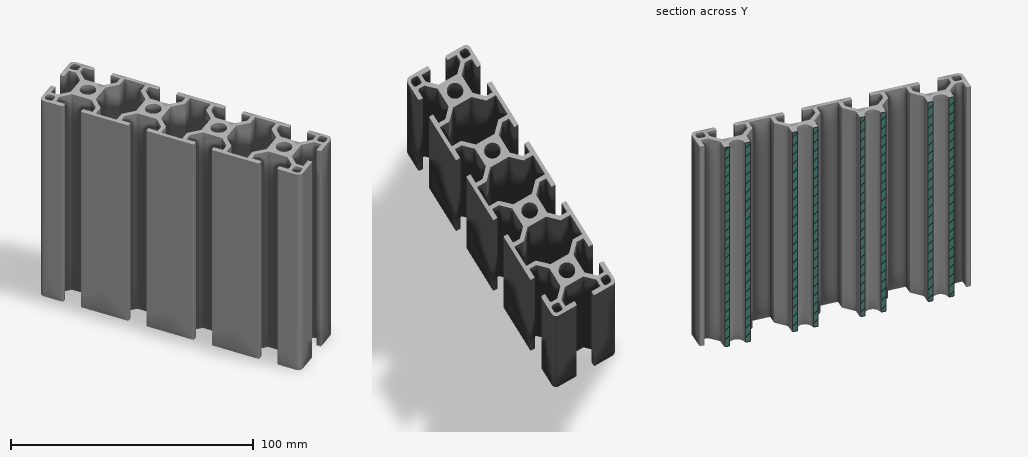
import cadquery as cq

length = 120.0
cell_count = 4
cell = length / cell_count
half_cell = cell / 2
height = 100.0
half_length = length / 2
outer_radius = 2.2

slot_half_opening = 4.1
slot_half_width = 8.4
lip_thickness = 2.0
slot_corner_radius = 0.7
lip_tip_radius = 0.4
corner_lip_tip_radius = 0.8

core_half = 5.8
bore_diameter = 6.8
web_offset = 1.3

chamber_half_width = 4.8
chamber_wall = 1.5

corner_hollow = 3.8
corner_hollow_wall = 1.3
corner_hollow_radius = 1.1
corner_hollow_outer_radius = 1.5

cell_centers = [(i + 0.5) * cell - half_length for i in range(cell_count)]
chamber_centers = [(i + 1) * cell - half_length for i in range(cell_count - 1)]


def mirrored_outline(right_side):
    """Close an outline from the points of its +X side, mirrored about X = 0."""
    left_side = [(-x, y) for x, y in reversed(right_side)]
    return cq.Workplane("XY").polyline(right_side + left_side).close().extrude(height)


def make_slot():
    """T-slot of a cell centred on the origin, opening towards +Y."""
    lip_inner = half_cell - lip_thickness
    return mirrored_outline([
        (core_half - web_offset, core_half),
        (slot_half_width, slot_half_width + web_offset),
        (slot_half_width, lip_inner),
        (slot_half_opening, lip_inner),
        (slot_half_opening, half_cell),
    ])


def make_chamber():
    """Hollow between two cells, centred on the boundary between them."""
    core_x = half_cell - core_half
    core_y = core_half - web_offset
    web_end_y = core_y + core_x - chamber_half_width
    top_y = half_cell - chamber_wall
    return mirrored_outline([
        (chamber_half_width, -top_y),
        (chamber_half_width, -web_end_y),
        (core_x, -core_y),
        (core_x, core_y),
        (chamber_half_width, web_end_y),
        (chamber_half_width, top_y),
    ])


def make_corner_hollow():
    """Rounded hollow in the +X +Y corner of the profile."""
    hollow = cq.Workplane("XY").rect(corner_hollow, corner_hollow).extrude(height)
    hollow = hollow.edges("|Z and (<X or <Y)").fillet(corner_hollow_radius)
    hollow = hollow.edges(cq.selectors.NearestToPointSelector((half_cell, half_cell, height / 2)))
    hollow = hollow.fillet(corner_hollow_outer_radius)
    inset = corner_hollow_wall + corner_hollow / 2
    return hollow.translate((half_length - inset, half_cell - inset, 0))


def fillet_upright_edges(body, points, radius):
    """Round the vertical edges that pass through the given XY points."""
    for x, y in points:
        edge = cq.selectors.NearestToPointSelector((x, y, height / 2))
        body = body.edges(edge).fillet(radius)
    return body


body = cq.Workplane("XY").rect(length, cell).extrude(height)
body = body.edges("|Z").fillet(outer_radius)

slot = make_slot()
flipped_slot = slot.mirror("XZ")
for x in cell_centers:
    body = body.cut(slot.translate((x, 0, 0)))
    body = body.cut(flipped_slot.translate((x, 0, 0)))
end_slot = slot.rotate((0, 0, 0), (0, 0, 1), -90).translate((cell_centers[-1], 0, 0))
body = body.cut(end_slot).cut(end_slot.mirror("YZ"))

chamber = make_chamber()
for x in chamber_centers:
    body = body.cut(chamber.translate((x, 0, 0)))

bores = cq.Workplane("XY").pushPoints([(x, 0) for x in cell_centers]).circle(bore_diameter / 2)
body = body.cut(bores.extrude(height))

corner = make_corner_hollow()
for hollow in (corner, corner.mirror("YZ")):
    body = body.cut(hollow).cut(hollow.mirror("XZ"))

long_side_tips = []
corner_tips = []
for x in cell_centers:
    for side in (-1, 1):
        tip_x = x + side * slot_half_opening
        is_corner_lip = abs(tip_x) > cell_centers[-1]
        tips = corner_tips if is_corner_lip else long_side_tips
        tips += [(tip_x, -half_cell), (tip_x, half_cell)]
end_tips = [(x, y) for x in (-half_length, half_length) for y in (-slot_half_opening, slot_half_opening)]
body = fillet_upright_edges(body, long_side_tips + end_tips, lip_tip_radius)
body = fillet_upright_edges(body, corner_tips, corner_lip_tip_radius)

slot_corner_x = cell_centers[-1] + slot_half_width
slot_corner_y = half_cell - lip_thickness
slot_corners = [(i * slot_corner_x, j * slot_corner_y) for i in (-1, 1) for j in (-1, 1)]
body = fillet_upright_edges(body, slot_corners, slot_corner_radius)

result = body